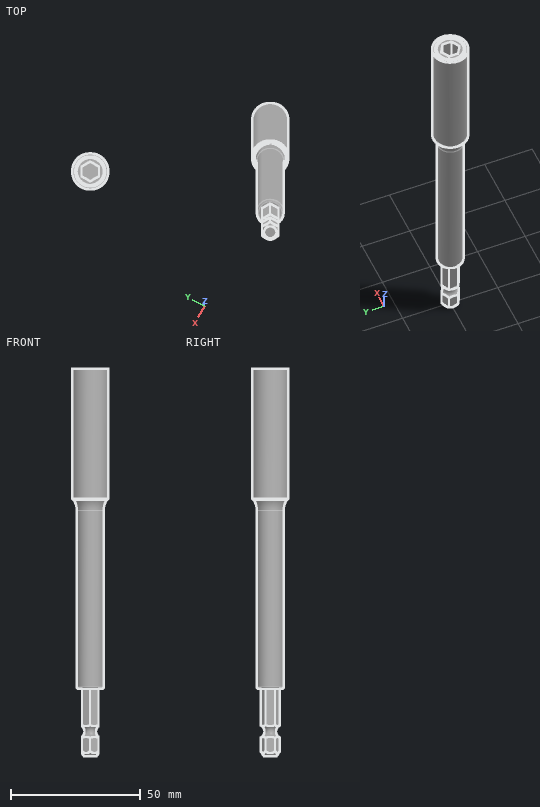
import cadquery as cq
import math

total_length = 150.0

sleeve_diameter = 14.1
sleeve_length = 50.8
sleeve_chamfer = 0.6
sleeve_bottom = total_length - sleeve_length

head_radius = 5.8
head_chamfer = 0.6

stem_radius = 5.2
stem_bottom = 26.1
stem_fillet = 0.8
transition_top_radius = 6.3
transition_length = 4.0

shank_flats = 6.5
shank_tip_radius = 2.4
shank_tip_length = 2.0
neck_radius = 2.2
neck_center = 9.6
neck_width = 4.8

socket_flats = 6.6
socket_depth = 15.0


def hex_prism(flats, bottom, height):
    """Hexagonal prism with corners on the Y axis and flats facing X."""
    corner_diameter = flats / math.cos(math.pi / 6)
    prism = cq.Workplane("XY").polygon(6, corner_diameter).extrude(height)
    return prism.rotate((0, 0, 0), (0, 0, 1), 90).translate((0, 0, bottom))


def make_sleeve():
    """Plain tube with a chamfer around its lower outer edge."""
    base = cq.Workplane("XY").workplane(offset=sleeve_bottom)
    blank = base.circle(sleeve_diameter / 2).extrude(sleeve_length)
    blank = blank.faces("<Z").edges().chamfer(sleeve_chamfer)
    return blank.faces(">Z").workplane().circle(head_radius).cutThruAll()


def make_shank():
    """Hexagonal shank with a tapered tip and a rounded retaining neck."""
    corner_radius = shank_flats / math.sqrt(3)
    neck_bottom = neck_center - neck_width / 2
    neck_top = neck_center + neck_width / 2
    envelope = (
        cq.Workplane("XZ")
        .lineTo(shank_tip_radius, 0)
        .lineTo(corner_radius, shank_tip_length)
        .lineTo(corner_radius, neck_bottom)
        .threePointArc((neck_radius, neck_center), (corner_radius, neck_top))
        .lineTo(corner_radius, stem_bottom)
        .lineTo(0, stem_bottom)
        .close()
        .revolve(360, (0, 0, 0), (0, 1, 0))
    )
    return hex_prism(shank_flats, 0, stem_bottom).intersect(envelope)


def make_round_rod():
    """Stem, concave transition and head, turned about the Z axis."""
    flare = transition_top_radius - stem_radius
    arc_radius = (transition_length**2 + flare**2) / (2 * flare)
    half_angle = math.asin(transition_length / arc_radius) / 2
    transition_bottom = sleeve_bottom - transition_length
    arc_middle = (
        stem_radius + arc_radius * (1 - math.cos(half_angle)),
        transition_bottom + arc_radius * math.sin(half_angle),
    )
    return (
        cq.Workplane("XZ")
        .moveTo(0, stem_bottom)
        .lineTo(stem_radius - stem_fillet, stem_bottom)
        .tangentArcPoint((stem_radius, stem_bottom + stem_fillet), relative=False)
        .lineTo(stem_radius, transition_bottom)
        .threePointArc(arc_middle, (transition_top_radius, sleeve_bottom))
        .lineTo(head_radius, sleeve_bottom)
        .lineTo(head_radius, total_length - head_chamfer)
        .lineTo(head_radius - head_chamfer, total_length)
        .lineTo(0, total_length)
        .close()
        .revolve(360, (0, 0, 0), (0, 1, 0))
    )


def make_rod():
    """Round rod joined to its drive shank, with the bit socket cut in its top."""
    socket = hex_prism(socket_flats, total_length - socket_depth, socket_depth)
    return make_round_rod().union(make_shank()).cut(socket)


sleeve = make_sleeve()
rod = make_rod()

result = cq.Compound.makeCompound([sleeve.val(), rod.val()])